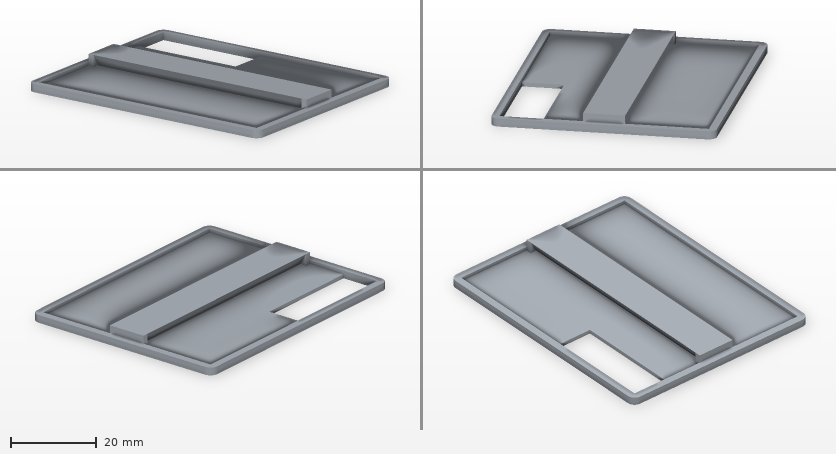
import cadquery as cq

length = 66.5
width = 53.5
rim_height = 2.0
rim_thickness = 1.85
corner_radius = 2.0
floor_thickness = 1.0

window_length = 28.0
window_width = 10.0

total_height = 4.0
bar_width = 10.0
bar_end_thickness = 1.45
undercut_depth = 1.7

inner_length = length - 2 * rim_thickness
inner_width = width - 2 * rim_thickness


def make_tray():
    """Shallow tray with rounded outer corners and a sharp-cornered recess."""
    body = (
        cq.Workplane("XY")
        .rect(length, width)
        .extrude(rim_height)
        .edges("|Z")
        .fillet(corner_radius)
    )
    recess = (
        cq.Workplane("XY")
        .workplane(offset=floor_thickness)
        .rect(inner_length, inner_width)
        .extrude(rim_height)
    )
    return body.cut(recess)


def make_window():
    """Cutter for the opening through the floor, flush with two rim walls."""
    return (
        cq.Workplane("XY")
        .center(-inner_length / 2, inner_width / 2 - window_width)
        .rect(window_length, window_width, centered=False)
        .extrude(rim_height)
    )


def make_undercut(side):
    """Wedge that slopes one long side of the bar inward towards the floor."""
    edge = side * bar_width / 2
    span = inner_length - 2 * bar_end_thickness
    return (
        cq.Workplane("YZ")
        .workplane(offset=-span / 2)
        .moveTo(edge, total_height)
        .lineTo(edge, floor_thickness)
        .lineTo(edge - side * undercut_depth, floor_thickness)
        .close()
        .extrude(span)
    )


def make_bar():
    """Bar standing on the floor, with full-width blocks at both ends."""
    bar = (
        cq.Workplane("XY")
        .workplane(offset=floor_thickness)
        .rect(inner_length, bar_width)
        .extrude(total_height - floor_thickness)
    )
    for side in (-1, 1):
        bar = bar.cut(make_undercut(side))
    return bar


result = make_tray().cut(make_window()).union(make_bar())